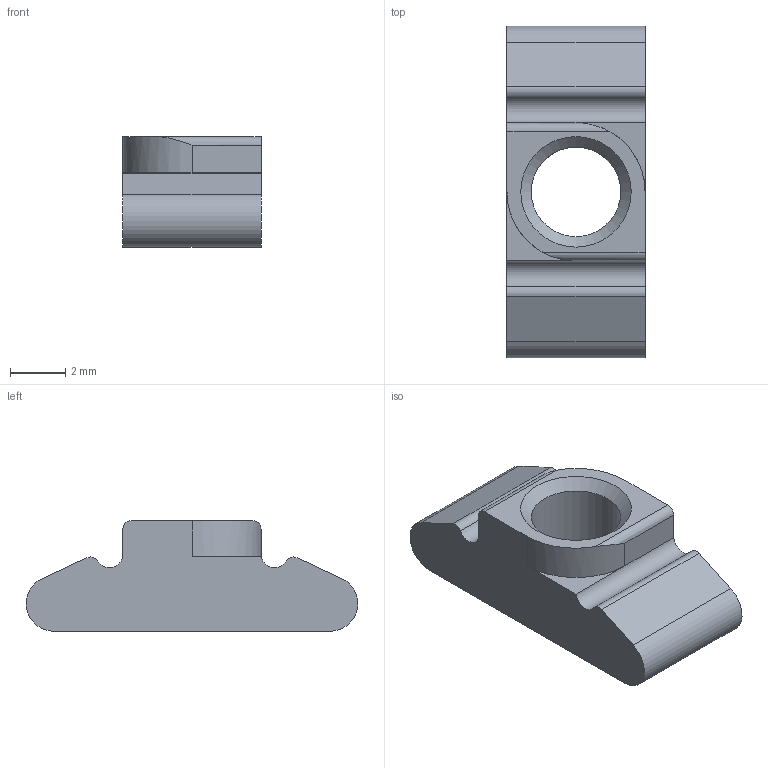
import cadquery as cq
import math

width = 5.0
length = 12.0
height = 4.0
end_radius = 1.0
shoulder_slope = 25.0
boss_edge_radius = 0.3
groove_radius = 0.5
groove_floor = 2.3
crest_radius = 0.3
ledge_height = 2.7
hole_diameter = 3.24
countersink_diameter = 4.0
countersink_angle = 90.0

boss_half = width / 2
slope = math.radians(shoulder_slope)
end_center_y = length / 2 - end_radius
end_center_z = end_radius
groove_center_z = groove_floor + groove_radius
groove_center_y = boss_half + math.sqrt(groove_radius**2 - (groove_center_z - ledge_height) ** 2)


def wing_tangent_point():
    """Point where the sloped wing meets the rounded end, as (y, z)."""
    return (
        end_center_y + end_radius * math.sin(slope),
        end_center_z + end_radius * math.cos(slope),
    )


def crest_point():
    """Sharp ridge where the sloped wing meets the outer side of the groove, as (y, z)."""
    wing_y, wing_z = wing_tangent_point()
    offset_y = wing_y - groove_center_y
    offset_z = wing_z - groove_center_z
    along = offset_y * math.cos(slope) - offset_z * math.sin(slope)
    across = offset_y * math.sin(slope) + offset_z * math.cos(slope)
    run = along - math.sqrt(groove_radius**2 - across**2)
    return wing_y - run * math.cos(slope), wing_z + run * math.sin(slope)


def half_body():
    """The +Y half of the extruded profile, with its ridge and boss edge rounded."""
    wing_y, wing_z = wing_tangent_point()
    crest_y, crest_z = crest_point()
    body = (
        cq.Workplane("YZ")
        .moveTo(0, 0)
        .lineTo(end_center_y, 0)
        .threePointArc((length / 2, end_center_z), (wing_y, wing_z))
        .lineTo(crest_y, crest_z)
        .threePointArc(
            (groove_center_y, groove_floor),
            (boss_half, ledge_height),
        )
        .lineTo(boss_half, height)
        .lineTo(0, height)
        .close()
        .extrude(width / 2, both=True)
    )
    crest_edge = cq.selectors.NearestToPointSelector((0, crest_y, crest_z))
    body = body.edges(crest_edge).fillet(crest_radius)
    boss_edge = cq.selectors.NearestToPointSelector((0, boss_half, height))
    return body.edges(boss_edge).fillet(boss_edge_radius)


def corner_cutter(side):
    """Material outside the boss circle in one corner; side is +1 for (+X, +Y), -1 for (-X, -Y)."""
    cut_height = height - ledge_height
    corner = (
        cq.Workplane("XY", origin=(0, 0, ledge_height))
        .rect(side * boss_half, side * boss_half, centered=False)
        .extrude(cut_height)
    )
    boss_cylinder = (
        cq.Workplane("XY", origin=(0, 0, ledge_height))
        .circle(boss_half)
        .extrude(cut_height)
    )
    return corner.cut(boss_cylinder)


positive_y_half = half_body()
result = positive_y_half.union(positive_y_half.mirror("XZ")).clean()

for corner_side in (1, -1):
    result = result.cut(corner_cutter(corner_side))

result = (
    result.faces(">Z")
    .workplane(origin=(0, 0, height))
    .cskHole(hole_diameter, countersink_diameter, countersink_angle)
)